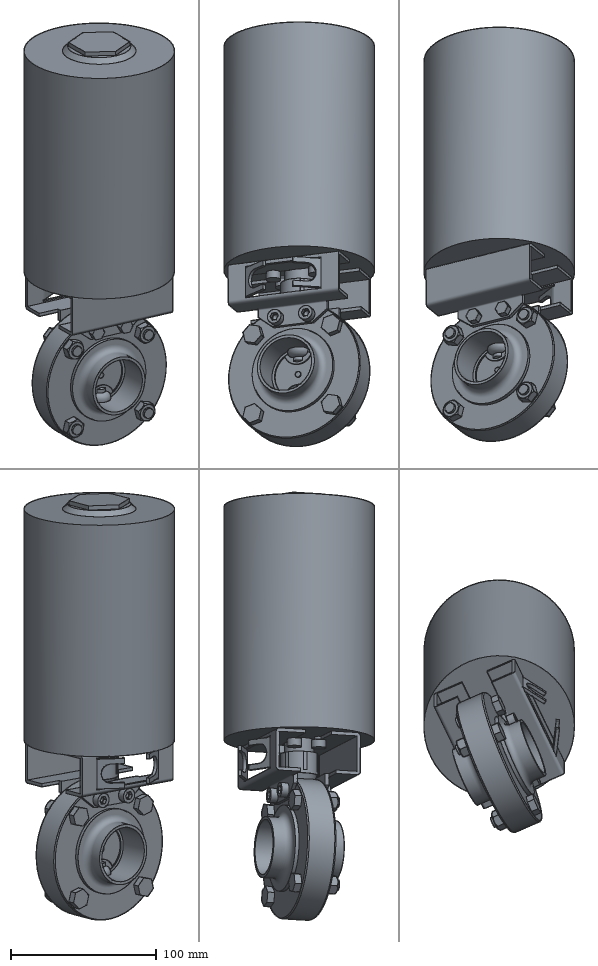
import cadquery as cq
import math


BODY_DIA = 97.2
BODY_HALF = 10.3
BODY_CHAMFER_X = 1.03
BODY_CHAMFER_R = 0.5
COLLAR_DIA = 59.5
COLLAR_X = 13.0
PIPE_DIA = 42.0
PIPE_HALF = 25.5
PIPE_BORE = 38.0
PIPE_FILLET = 4.5
SEAL_BORE = 34.2
SEAL_HALF = 3.0

DISC_HALF = 1.8
PIN_DIA = 4.0
PIN_RISE = 1.0
HUB_Z = 18.0
HUB_RADIUS = 10.5
HUB_HALF = 2.7
DOME_RADIUS = 8.0
DOME_DEPTH = 5.5
DOME_SHOULDER_RADIUS = 7.0
DOME_SHOULDER_Z = 14.0
STUB_DIA = 8.5
STUB_END_Z = 7.7

BOLT_CIRCLE_RADIUS = 41.0
BOLT_ANGLES = (45, 135, 225, 315)
HEX_CORNERS = 14.0
BOLT_HEAD_HEIGHT = 5.0
NUT_HEIGHT = 6.2
NUT_CHAMFER = 1.2
BOLT_DIA = 7.5
BOLT_TIP_X = 18.3

ACTUATOR_DIA = 103.7
ACTUATOR_BOTTOM = 76.3
TOTAL_HEIGHT = 294.5
TOP_Z = TOTAL_HEIGHT - BODY_DIA / 2
CAP_HEX_HEIGHT = 3.0
CAP_CONE_HEIGHT = 3.5
CAP_CONE_DIA = 50.7
CAP_HEX_FLATS = 36.5
ACTUATOR_TOP = TOP_Z - CAP_HEX_HEIGHT - CAP_CONE_HEIGHT

SHEET = 2.5
BRACKET_HALF_X = 30.5
BRACKET_WIDTH = 81.3
BRACKET_HEIGHT = 29.5
BRACKET_BOTTOM = ACTUATOR_BOTTOM - BRACKET_HEIGHT
BRACKET_MID_Z = ACTUATOR_BOTTOM - BRACKET_HEIGHT / 2
TOP_GAP = 18.8
WINDOW_HALF_Y = 27.7
WINDOW_HEIGHT = 22.7
FLAP_HEIGHT = 21.0
FLAP_TIP_X = 40.5
FLAP_TIP_Y = 11.2
FLAP_SLOT_HEIGHT = 13.5
FLAP_SLOT_MARGIN = 3.2

EAR_THICKNESS = 3.0
EAR_OUTER_X = 13.0
EAR_INNER_X = EAR_OUTER_X - EAR_THICKNESS
EAR_BEND_RADIUS = 1.0
EAR_HALF_Y = 25.3
EAR_SHOULDER_Z = 41.2
EAR_FOOT_HALF_Y = 14.7
EAR_FOOT_Z = 33.0
EAR_SCREW_Y = 11.5
EAR_SCREW_Z = 38.5
SCREW_HEAD_DIA = 10.0
EAR_SCREW_HEAD_X = 18.3
EAR_NUT_X = 17.7
SOCKET_CORNERS = 6.0
SOCKET_DEPTH = 3.0
SOCKET_POINT_DIA = 4.0
SOCKET_POINT_DEPTH = 1.2

MOUNT_SCREW_X = 8.8
MOUNT_SCREW_Y = 15.5
MOUNT_SCREW_DIA = 6.0
MOUNT_HEAD_TOP = ACTUATOR_BOTTOM - SHEET
MOUNT_HEAD_BOTTOM = 68.5

STEM_DIA = 20.0
COUPLING_DIA = 26.0
COUPLING_TOP = 66.3
COUPLING_BOTTOM = 51.2
NECK_TOP_DIA = 24.7
NECK_LOW_DIA = 21.8
NECK_BOTTOM = 47.0
MARK_WIDTH = 2.7
MARK_LENGTH = 12.7
MARK_DEPTH = 0.3
MARK_ANGLES = (-150, -90, -30)


def x_cylinder(dia, x0, x1, y=0, z=0):
    return cq.Workplane("YZ", origin=(x0, y, z)).circle(dia / 2).extrude(x1 - x0)


def z_cylinder(dia, z0, z1, x=0, y=0):
    return cq.Workplane("XY", origin=(x, y, z0)).circle(dia / 2).extrude(z1 - z0)


def x_hexagon(corners, x0, x1, y=0, z=0, angle=0):
    """Hexagonal prism along X, turned about its own axis by angle degrees."""
    prism = cq.Workplane("YZ").polygon(6, corners).extrude(x1 - x0)
    return prism.rotate((0, 0, 0), (1, 0, 0), angle).translate((x0, y, z))


def valve_body():
    """Flanged body, collars and pipe stubs as one profile turned about X."""
    body = x_cylinder(BODY_DIA, -BODY_HALF, BODY_HALF)
    body = body.faces("<X or >X").chamfer(BODY_CHAMFER_X, BODY_CHAMFER_R)
    pipe_radius = PIPE_DIA / 2
    stub = (
        cq.Workplane("XY")
        .lineTo(0, COLLAR_DIA / 2)
        .lineTo(COLLAR_X, COLLAR_DIA / 2)
        .lineTo(COLLAR_X, pipe_radius + PIPE_FILLET)
        .radiusArc((COLLAR_X + PIPE_FILLET, pipe_radius), -PIPE_FILLET)
        .lineTo(PIPE_HALF, pipe_radius)
        .lineTo(PIPE_HALF, 0)
        .close()
        .revolve(360, (0, 0, 0), (1, 0, 0))
    )
    body = body.union(stub).union(stub.mirror("YZ"))
    body = body.cut(x_cylinder(PIPE_BORE, -PIPE_HALF, PIPE_HALF))
    seal = x_cylinder(PIPE_BORE, -SEAL_HALF, SEAL_HALF).cut(x_cylinder(SEAL_BORE, -SEAL_HALF, SEAL_HALF))
    return body.union(seal)


def closing_disc():
    """Closed disc with a centre pin and a domed hub at each end of the stem."""
    disc = x_cylinder(PIPE_BORE, -DISC_HALF, DISC_HALF)
    pin_half = DISC_HALF + PIN_RISE
    disc = disc.union(x_cylinder(PIN_DIA, -pin_half, pin_half))
    stub_radius = STUB_DIA / 2
    dome_bottom_z = HUB_Z - DOME_DEPTH
    hub = (
        cq.Workplane("XZ")
        .moveTo(0, STUB_END_Z)
        .lineTo(stub_radius, STUB_END_Z + stub_radius / 2)
        .lineTo(stub_radius, dome_bottom_z)
        .threePointArc((DOME_SHOULDER_RADIUS, DOME_SHOULDER_Z), (DOME_RADIUS, HUB_Z))
        .lineTo(0, HUB_Z)
        .close()
        .revolve(360, (0, 0, 0), (0, 1, 0))
    )
    hub = hub.union(x_cylinder(2 * HUB_RADIUS, -HUB_HALF, HUB_HALF, z=HUB_Z))
    hub = hub.intersect(x_cylinder(PIPE_BORE, -HUB_RADIUS, HUB_RADIUS))
    return disc.union(hub).union(hub.mirror("XY"))


def flange_bolt():
    """Bolt on the +Y side of the body: head at -X, nut and thread tip at +X."""
    y = BOLT_CIRCLE_RADIUS
    head = x_hexagon(HEX_CORNERS, -BODY_HALF - BOLT_HEAD_HEIGHT, 0, y, angle=30)
    nut_x = BODY_HALF + NUT_HEIGHT
    nut = x_hexagon(HEX_CORNERS, 0, nut_x, y, angle=30)
    nut = nut.intersect(x_cylinder(HEX_CORNERS, 0, nut_x, y).faces(">X").chamfer(NUT_CHAMFER))
    return head.union(nut).union(x_cylinder(BOLT_DIA, 0, BOLT_TIP_X, y))


def actuator():
    """Cylinder with a conical cap and a hexagon on top."""
    barrel = z_cylinder(ACTUATOR_DIA, ACTUATOR_BOTTOM, ACTUATOR_TOP)
    cone_radius = CAP_CONE_DIA / 2
    cone = cq.Workplane("XY").add(
        cq.Solid.makeCone(
            cone_radius, cone_radius - CAP_CONE_HEIGHT, CAP_CONE_HEIGHT, cq.Vector(0, 0, ACTUATOR_TOP)
        )
    )
    hexagon = (
        cq.Workplane("XY", origin=(0, 0, ACTUATOR_TOP))
        .polygon(6, CAP_HEX_FLATS / math.cos(math.pi / 6))
        .extrude(TOP_Z - ACTUATOR_TOP)
    )
    return barrel.union(cone).union(hexagon)


def bracket_flap():
    """Slotted flap on the +Y edge of the window, bent outwards towards -X."""
    run_x = FLAP_TIP_X - BRACKET_HALF_X
    run_y = WINDOW_HALF_Y - FLAP_TIP_Y
    length = math.hypot(run_x, run_y)
    bend = math.degrees(math.atan2(run_x, run_y))
    plate = cq.Workplane("XY").box(SHEET, length, FLAP_HEIGHT, centered=(False, False, True))
    plate = plate.translate((0, -length, 0))
    slot_radius = FLAP_SLOT_HEIGHT / 2
    slot_center_y = -FLAP_SLOT_MARGIN - slot_radius
    slot = x_cylinder(FLAP_SLOT_HEIGHT, 0, SHEET, slot_center_y)
    slot = slot.union(
        cq.Workplane("XY")
        .box(SHEET, length, FLAP_SLOT_HEIGHT, centered=(False, False, True))
        .translate((0, slot_center_y - length, 0))
    )
    flap = plate.cut(slot).rotate((0, 0, 0), (0, 0, 1), -bend)
    root = (
        cq.Workplane("XY", origin=(0, 0, -FLAP_HEIGHT / 2))
        .lineTo(SHEET * math.cos(math.radians(bend)), -SHEET * math.sin(math.radians(bend)))
        .lineTo(SHEET, 0)
        .lineTo(SHEET, SHEET)
        .lineTo(0, SHEET)
        .close()
        .extrude(FLAP_HEIGHT)
    )
    return flap.union(root).translate((-BRACKET_HALF_X, WINDOW_HALF_Y, BRACKET_MID_Z))


def bracket_ear():
    """Ear bent down from the bracket floor onto the +X face of the body."""
    plate = (
        cq.Workplane("YZ", origin=(EAR_INNER_X, 0, 0))
        .moveTo(-EAR_HALF_Y, BRACKET_BOTTOM + SHEET)
        .lineTo(EAR_HALF_Y, BRACKET_BOTTOM + SHEET)
        .lineTo(EAR_HALF_Y, EAR_SHOULDER_Z)
        .lineTo(EAR_FOOT_HALF_Y, EAR_FOOT_Z)
        .lineTo(-EAR_FOOT_HALF_Y, EAR_FOOT_Z)
        .lineTo(-EAR_HALF_Y, EAR_SHOULDER_Z)
        .close()
        .extrude(EAR_THICKNESS)
    )
    bend = (
        cq.Workplane("XZ", origin=(EAR_OUTER_X, EAR_HALF_Y, BRACKET_BOTTOM))
        .lineTo(0, -EAR_BEND_RADIUS)
        .radiusArc((EAR_BEND_RADIUS, 0), EAR_BEND_RADIUS)
        .close()
        .extrude(2 * EAR_HALF_Y)
    )
    return plate.union(bend)


def bracket():
    """Folded sheet frame, split along the middle of its roof and floor."""
    center = (0, 0, BRACKET_MID_Z)
    frame = cq.Workplane("XY").box(2 * BRACKET_HALF_X, BRACKET_WIDTH, BRACKET_HEIGHT)
    frame = frame.edges("|Y").fillet(SHEET).translate(center)
    inside = cq.Workplane("XY").box(
        2 * (BRACKET_HALF_X - SHEET), BRACKET_WIDTH, BRACKET_HEIGHT - 2 * SHEET
    )
    frame = frame.cut(inside.translate(center))
    roof_gap = cq.Workplane("XY").box(TOP_GAP, BRACKET_WIDTH, SHEET)
    frame = frame.cut(roof_gap.translate((0, 0, ACTUATOR_BOTTOM - SHEET / 2)))
    floor_gap = cq.Workplane("XY").box(2 * EAR_OUTER_X, BRACKET_WIDTH, SHEET)
    frame = frame.cut(floor_gap.translate((0, 0, BRACKET_BOTTOM + SHEET / 2)))
    window = cq.Workplane("XY").box(2 * SHEET, 2 * WINDOW_HALF_Y, WINDOW_HEIGHT)
    frame = frame.cut(window.translate((-BRACKET_HALF_X, 0, BRACKET_MID_Z)))
    flap = bracket_flap()
    ear = bracket_ear()
    return frame.union(flap).union(flap.mirror("XZ")).union(ear).union(ear.mirror("YZ"))


def ear_screw(y):
    """Socket screw with a drill-pointed socket: head at -X, hexagon nut at +X."""
    head = x_cylinder(SCREW_HEAD_DIA, -EAR_SCREW_HEAD_X, 0, y, EAR_SCREW_Z)
    socket_end = SOCKET_DEPTH - EAR_SCREW_HEAD_X
    head = head.cut(x_hexagon(SOCKET_CORNERS, -EAR_SCREW_HEAD_X, socket_end, y, EAR_SCREW_Z))
    point = cq.Solid.makeCone(
        SOCKET_POINT_DIA / 2, 0, SOCKET_POINT_DEPTH, cq.Vector(socket_end, y, EAR_SCREW_Z), cq.Vector(1, 0, 0)
    )
    head = head.cut(cq.Workplane("XY").add(point))
    return head.union(x_hexagon(SCREW_HEAD_DIA, 0, EAR_NUT_X, y, EAR_SCREW_Z))


def mount_screw(x, y):
    """Cheese-head screw that holds the bracket roof to the actuator."""
    head = z_cylinder(SCREW_HEAD_DIA, MOUNT_HEAD_BOTTOM, MOUNT_HEAD_TOP, x, y)
    return head.union(z_cylinder(MOUNT_SCREW_DIA, MOUNT_HEAD_BOTTOM, ACTUATOR_BOTTOM + SHEET, x, y))


def stem():
    """Actuator stem, position-marked coupling and the tapered neck under it."""
    shaft = z_cylinder(STEM_DIA, NECK_BOTTOM, ACTUATOR_BOTTOM)
    coupling = z_cylinder(COUPLING_DIA, COUPLING_BOTTOM, COUPLING_TOP)
    mark = cq.Workplane("XY").box(2 * MARK_DEPTH, MARK_WIDTH, MARK_LENGTH)
    mark = mark.translate((COUPLING_DIA / 2, 0, COUPLING_TOP - MARK_LENGTH / 2))
    for angle in MARK_ANGLES:
        coupling = coupling.cut(mark.rotate((0, 0, 0), (0, 0, 1), angle))
    neck_height = COUPLING_BOTTOM - NECK_BOTTOM
    neck = cq.Workplane("XY").add(
        cq.Solid.makeCone(NECK_LOW_DIA / 2, NECK_TOP_DIA / 2, neck_height, cq.Vector(0, 0, NECK_BOTTOM))
    )
    return shaft.union(coupling).union(neck)


result = valve_body().union(closing_disc()).union(actuator()).union(bracket()).union(stem())
for angle in BOLT_ANGLES:
    result = result.union(flange_bolt().rotate((0, 0, 0), (1, 0, 0), angle))
for side in (-1, 1):
    result = result.union(ear_screw(side * EAR_SCREW_Y))
    for x in (-MOUNT_SCREW_X, MOUNT_SCREW_X):
        result = result.union(mount_screw(x, side * MOUNT_SCREW_Y))